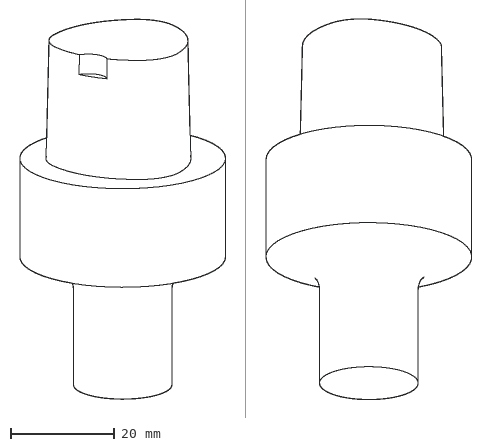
import cadquery as cq
import math

total_height = 70
shank_diameter = 19.2
collar_diameter = 40.0
collar_height = 20.0
stem_height = 24.0

neck_radius = 5.0
underside_angle = math.radians(15)

stem_base_half_width = 14.1
stem_top_half_width = 13.5
lobe_center_distance = 6.15

notch_radius = 3.65
notch_depth = 4.0
notch_center_y = -14.5

collar_top = total_height - stem_height
collar_bottom = collar_top - collar_height


def polar(radius, degrees, origin=(0, 0)):
    angle = math.radians(degrees)
    return (origin[0] + radius * math.cos(angle), origin[1] + radius * math.sin(angle))


def turned_body():
    """Shank, concave neck, conical underside and collar in one revolution."""
    shank_radius = shank_diameter / 2
    collar_radius = collar_diameter / 2
    neck_angle = math.pi / 2 - underside_angle
    cone_inner_radius = shank_radius + neck_radius * (1 - math.cos(neck_angle))
    cone_rise = (collar_radius - cone_inner_radius) * math.tan(underside_angle)
    cone_bottom = collar_bottom - cone_rise
    shank_top = cone_bottom - neck_radius * math.sin(neck_angle)
    neck_middle = (
        shank_radius + neck_radius * (1 - math.cos(neck_angle / 2)),
        shank_top + neck_radius * math.sin(neck_angle / 2),
    )
    return (
        cq.Workplane("XZ")
        .lineTo(shank_radius, 0)
        .lineTo(shank_radius, shank_top)
        .threePointArc(neck_middle, (cone_inner_radius, cone_bottom))
        .lineTo(collar_radius, collar_bottom)
        .lineTo(collar_radius, collar_top)
        .lineTo(0, collar_top)
        .close()
        .revolve(360, (0, 0), (0, 1))
    )


def add_lobed_outline(plane, half_width):
    """Draw six tangent arcs: a tight lobe and a wide flank, three times over."""
    lobe_radius = half_width - lobe_center_distance * math.cos(math.radians(30))
    flank_radius = 2 * half_width - lobe_radius
    first_lobe = polar(lobe_center_distance, 90)
    outline = plane.moveTo(*polar(lobe_radius, 60, first_lobe))
    for lobe_angle in (90, 210, 330):
        lobe_center = polar(lobe_center_distance, lobe_angle)
        flank_angle = lobe_angle + 60
        flank_center = polar(lobe_center_distance, flank_angle + 180)
        outline = outline.threePointArc(
            polar(lobe_radius, lobe_angle, lobe_center),
            polar(lobe_radius, lobe_angle + 30, lobe_center),
        ).threePointArc(
            polar(flank_radius, flank_angle, flank_center),
            polar(flank_radius, flank_angle + 30, flank_center),
        )
    return outline.close()


def lobed_stem():
    base_plane = cq.Workplane("XY").workplane(offset=collar_top)
    base = add_lobed_outline(base_plane, stem_base_half_width)
    top_plane = base.workplane(offset=stem_height)
    return add_lobed_outline(top_plane, stem_top_half_width).loft(ruled=True)


def notch_cutter():
    return (
        cq.Workplane("XY")
        .workplane(offset=total_height - notch_depth)
        .center(0, notch_center_y)
        .circle(notch_radius)
        .extrude(notch_depth)
    )


result = turned_body().union(lobed_stem()).cut(notch_cutter())